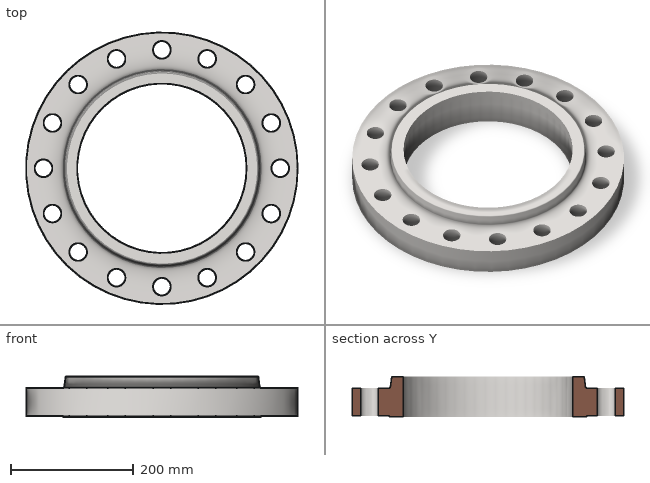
import cadquery as cq


flange_diameter = 444.5
flange_thickness = 46.0

face_diameter = 323.5
face_height = 1.8

hub_base_diameter = 320.5
hub_top_diameter = 315.5
hub_edge_radius = 1.8
total_height = 66.5

bore_diameter = 276.5

bolt_hole_count = 16
bolt_hole_diameter = 28.5
bolt_circle_diameter = 387.0

flange_top = face_height + flange_thickness


def flange_blank():
    """Raised face and plate, still without bore and bolt holes."""
    raised_face = cq.Workplane("XY").circle(face_diameter / 2).extrude(face_height)
    plate = (
        cq.Workplane("XY")
        .workplane(offset=face_height)
        .circle(flange_diameter / 2)
        .extrude(flange_thickness)
    )
    return raised_face.union(plate)


def add_hub(body):
    """Add the tapered hub with a rounded top edge and a fillet at its root."""
    hub = (
        cq.Workplane("XY")
        .workplane(offset=flange_top)
        .circle(hub_base_diameter / 2)
        .workplane(offset=total_height - flange_top)
        .circle(hub_top_diameter / 2)
        .loft()
        .faces(">Z")
        .edges()
        .fillet(hub_edge_radius)
    )
    hub_root = cq.selectors.RadiusNthSelector(0)
    return body.union(hub).faces(">Z[-2]").edges(hub_root).fillet(hub_edge_radius)


def bore():
    """Cylinder along the axis through the full height."""
    return cq.Workplane("XY").circle(bore_diameter / 2).extrude(total_height)


def bolt_holes():
    """Cylinders through the plate, the first one on the +X axis."""
    return (
        cq.Workplane("XY")
        .polarArray(bolt_circle_diameter / 2, 0, 360, bolt_hole_count)
        .circle(bolt_hole_diameter / 2)
        .extrude(flange_top)
    )


result = add_hub(flange_blank()).cut(bore()).cut(bolt_holes())